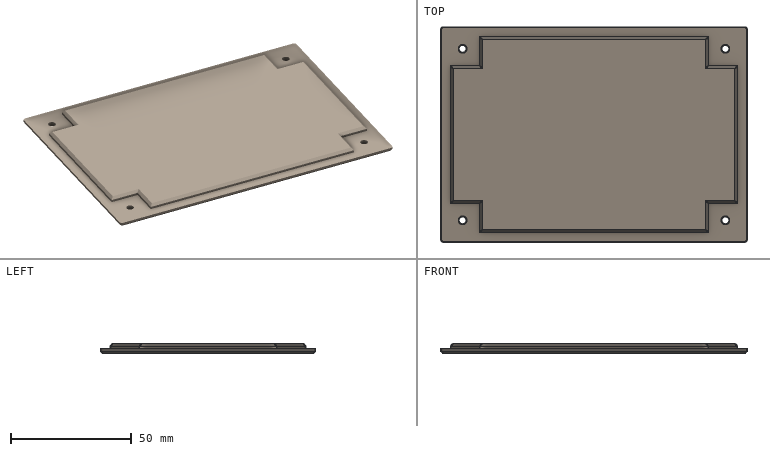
import cadquery as cq

length = 126.7
width = 89.0
height = 4.0
plate_thickness = height / 2
corner_radius = 1.1
edge_chamfer = 1.0

pad_margin = 4.0
pad_height = height - plate_thickness
notch_size = 12.0

hole_diameter = 3.2
hole_inset = 9.0


def make_plate():
    """Plate with rounded corners and a chamfered bottom edge."""
    plate = cq.Workplane("XY").box(length, width, plate_thickness, centered=(True, True, False))
    plate = plate.edges("|Z").fillet(corner_radius)
    return plate.faces("<Z").edges().chamfer(edge_chamfer)


def make_pad():
    """Cross-shaped pad with a chamfered top edge."""
    pad_length = length - 2 * pad_margin
    pad_width = width - 2 * pad_margin
    base = cq.Workplane("XY").workplane(offset=plate_thickness)
    long_bar = base.rect(pad_length, pad_width - 2 * notch_size).extrude(pad_height)
    wide_bar = base.rect(pad_length - 2 * notch_size, pad_width).extrude(pad_height)
    pad = long_bar.union(wide_bar).clean()
    return pad.faces(">Z").edges().chamfer(edge_chamfer)


def make_holes():
    """Through-hole cutters at the four corners."""
    return (
        cq.Workplane("XY")
        .rect(length - 2 * hole_inset, width - 2 * hole_inset, forConstruction=True)
        .vertices()
        .circle(hole_diameter / 2)
        .extrude(plate_thickness)
    )


result = make_plate().union(make_pad()).cut(make_holes())